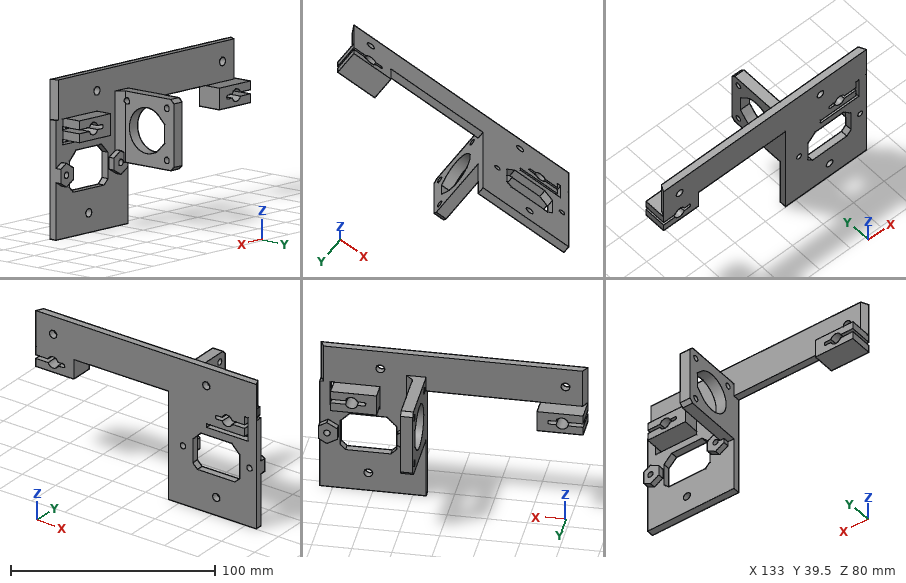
import cadquery as cq
import math

length = 133.0
height = 80.0
plate_thickness = 4.0
column_width = 53.1
bar_height = 20.1
end_bevel = 2.0
column_left = length - column_width
bar_bottom = height - bar_height

clamp_width = 23.0
clamp_height = 10.9
clamp_depth = 13.0
clamp_bore = 6.3
clamp_bore_inset = 10.5
clamp_slot_length = 17.5
slot_width = 2.0
right_clamp_gap = 7.0
clamp_bottom = bar_bottom - clamp_height
clamp_middle = bar_bottom - clamp_height / 2
right_clamp_end = length - right_clamp_gap

mount_diameter = 4.3
mount_edge_inset = 10.0
mount_left_x = 10.5
mount_right_x = 102.8

socket_x = 108.8
socket_screw_z = 32.5
socket_screw_spacing = 40.0
socket_width = 28.2
socket_bottom = 22.1
socket_top = 42.8
socket_top_cut = 4.8
socket_bottom_cut = 2.8
small_hole_diameter = 3.2
boss_corner_radius = 6.0
boss_height = 3.2
mount_lower_x = socket_x

flange_thickness = 6.1
flange_depth = 39.5
flange_height = 35.8
flange_corner_cut = 2.0
motor_y = 21.8
motor_z = 50.0
motor_screw_spacing = 26.1
motor_bore_radius = 11.5
gusset_leg = 3.6


def box(x_range, y_range, z_range):
    """Box spanning the given (start, end) pairs."""
    spans = [end - start for start, end in (x_range, y_range, z_range)]
    corner = (x_range[0], y_range[0], z_range[0])
    return cq.Workplane("XY").box(*spans, centered=False).translate(corner)


def extrude_back(sketch_points, start, depth):
    """Extrude an XZ outline toward +Y from Y = start."""
    plane = cq.Workplane("XZ", origin=(0, start, 0))
    return plane.polyline(sketch_points).close().extrude(-depth)


def hole_along_y(x, z, diameter, depth):
    return cq.Workplane("XZ").center(x, z).circle(diameter / 2).extrude(-depth)


def front_plate():
    bar_outline = [
        (0, 0),
        (length, 0),
        (length - end_bevel, plate_thickness),
        (end_bevel, plate_thickness),
    ]
    bar = cq.Workplane("XY", origin=(0, 0, bar_bottom)).polyline(bar_outline).close().extrude(bar_height)
    column = box((column_left, length), (0, plate_thickness), (0, bar_bottom))
    return bar.union(column)


def clamp_block(left):
    return box((left, left + clamp_width), (0, clamp_depth), (clamp_bottom, bar_bottom))


def clamp_opening(open_end, inward):
    """Rod bore and round-ended slot; inward is +1 or -1 along X from the open end."""
    slot_center = open_end + inward * (clamp_slot_length - slot_width / 2)
    slot_ends = sorted((open_end, slot_center))
    slot = box(
        slot_ends,
        (0, clamp_depth),
        (clamp_middle - slot_width / 2, clamp_middle + slot_width / 2),
    )
    slot = slot.union(hole_along_y(slot_center, clamp_middle, slot_width, clamp_depth))
    bore_x = open_end + inward * clamp_bore_inset
    return slot.union(hole_along_y(bore_x, clamp_middle, clamp_bore, clamp_depth))


def relief_slot():
    """L-shaped gap that frees the right clamp from the column."""
    outer = right_clamp_end + slot_width
    bottom = clamp_bottom - slot_width
    upright = box((right_clamp_end, outer), (0, plate_thickness), (bottom, bar_bottom))
    foot = box((right_clamp_end - clamp_width, outer), (0, plate_thickness), (bottom, clamp_bottom))
    return upright.union(foot)


def socket_opening():
    left = socket_x - socket_width / 2
    right = socket_x + socket_width / 2
    outline = [
        (left + socket_bottom_cut, socket_bottom),
        (right - socket_bottom_cut, socket_bottom),
        (right, socket_bottom + socket_bottom_cut),
        (right, socket_top - socket_top_cut),
        (right - socket_top_cut, socket_top),
        (left + socket_top_cut, socket_top),
        (left, socket_top - socket_top_cut),
        (left, socket_bottom + socket_bottom_cut),
    ]
    return extrude_back(outline, 0, plate_thickness)


def screw_boss(x):
    """Hexagonal boss with corners at top and bottom, trimmed at the plate edge."""
    corners = []
    for i in range(6):
        angle = math.radians(30 + 60 * i)
        corners.append((
            x + boss_corner_radius * math.cos(angle),
            socket_screw_z + boss_corner_radius * math.sin(angle),
        ))
    hexagon = extrude_back(corners, plate_thickness, boss_height)
    return hexagon.intersect(box((0, length), (0, flange_depth), (0, height)))


def motor_flange():
    bottom = motor_z - flange_height / 2
    flange = box(
        (column_left, column_left + flange_thickness),
        (0, flange_depth),
        (bottom, bottom + flange_height),
    )
    flange = flange.edges("|X and >Y").chamfer(flange_corner_cut)
    inner_x = column_left + flange_thickness
    gusset = (
        cq.Workplane("XY", origin=(0, 0, bottom))
        .moveTo(inner_x, plate_thickness)
        .lineTo(inner_x + gusset_leg, plate_thickness)
        .lineTo(inner_x, plate_thickness + gusset_leg)
        .close()
        .extrude(flange_height)
    )
    return flange.union(gusset)


def motor_openings():
    """Bore with a flat-topped teardrop toward +Y, and three screw holes."""
    tangent = motor_bore_radius * math.sqrt(0.5)
    flat_half = motor_bore_radius * (math.sqrt(2) - 1)
    plane = cq.Workplane("YZ", origin=(column_left, motor_y, motor_z))
    openings = (
        plane.moveTo(tangent, tangent)
        .threePointArc((-motor_bore_radius, 0), (tangent, -tangent))
        .lineTo(motor_bore_radius, -flat_half)
        .lineTo(motor_bore_radius, flat_half)
        .close()
        .extrude(flange_thickness)
    )
    offset = motor_screw_spacing / 2
    screws = (
        plane.pushPoints([(offset, offset), (offset, -offset), (-offset, offset)])
        .circle(small_hole_diameter / 2)
        .extrude(flange_thickness + gusset_leg)
    )
    return openings.union(screws)


result = front_plate().union(motor_flange())
for clamp_left in (0, right_clamp_end - clamp_width):
    result = result.union(clamp_block(clamp_left))

socket_screws = [socket_x + side * socket_screw_spacing / 2 for side in (-1, 1)]
for screw_x in socket_screws:
    result = result.union(screw_boss(screw_x))

result = result.cut(clamp_opening(0, 1)).cut(clamp_opening(right_clamp_end, -1))
result = result.cut(relief_slot()).cut(socket_opening()).cut(motor_openings())
for screw_x in socket_screws:
    screw_depth = plate_thickness + boss_height
    result = result.cut(hole_along_y(screw_x, socket_screw_z, small_hole_diameter, screw_depth))

mount_points = [
    (mount_left_x, height - mount_edge_inset),
    (mount_right_x, height - mount_edge_inset),
    (mount_lower_x, mount_edge_inset),
]
for mount_x, mount_z in mount_points:
    result = result.cut(hole_along_y(mount_x, mount_z, mount_diameter, plate_thickness))